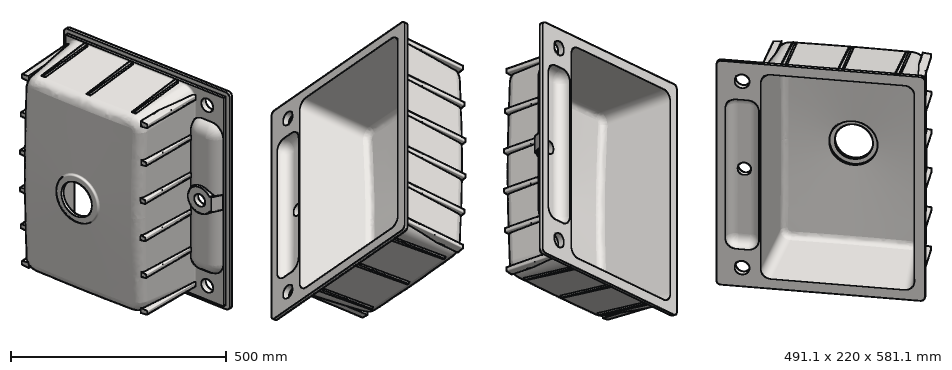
import cadquery as cq
import math


plate_width = 491.12
plate_height = 581.12
plate_center_x = 40.0
plate_thickness = 9.0
plate_corner_radius = 11.0
flange_thickness = 17.0
flange_inset = 11.5

wall = 10.0
bowl_half_width = 189.5
bowl_half_height = 273.8
draft_angle = 4.6
bowl_corner_radius = 34.0
bowl_floor_radius = 26.0
bowl_root_radius = 4.0
floor_depth_at_drain = 218.0
floor_slope = 0.06

drain_hole_diameter = 90.0
drain_seat_diameter = 114.0
drain_seat_thickness = 8.5
drain_ring_base_diameter = 132.0
drain_ring_face_diameter = 118.0
drain_ring_edge_radius = 3.0
total_depth = 220.0
drain_ring_height = 6.0

rib_embedding = 20.0
side_rib_spacing = 100.0
side_rib_count = 6
side_rib_root_reach = 192.0
side_rib_end_reach = 186.0
side_rib_root_width = 13.0
side_rib_end_width = 10.5
side_rib_crest_radius = 2.5
side_rib_flare = 0.1
side_rib_floor_clearance = 9.0
end_rib_spacing = 134.0
end_rib_count = 3
end_rib_root_reach = 278.0
end_rib_end_reach = 264.5
end_rib_root_width = 9.0
end_rib_end_width = 4.5
end_rib_flare = 1.1
end_rib_depth = 176.0

ledge_center_x = 225.0
ledge_width = 99.0
ledge_length = 408.0
ledge_depth = 40.0
ledge_corner_radius = 36.0
ledge_floor_radius = 35.0
boss_depth = 45.0
boss_face_diameter = 70.0
boss_base_diameter = 82.0
web_width = 40.0
ledge_hole_diameter = 32.0
tap_hole_diameter = 35.0
tap_hole_offset = 242.0


def plane_at(depth):
    """Sketch plane parallel to the rim; local axes are X and Z, extrusion goes deeper."""
    return cq.Workplane("XZ", origin=(0, -depth, 0))


def cylinder(x, z, diameter, depth):
    return plane_at(0).center(x, z).circle(diameter / 2).extrude(depth)


def frustum(x, start_depth, start_diameter, end_depth, end_diameter):
    return (
        plane_at(start_depth)
        .center(x, 0)
        .circle(start_diameter / 2)
        .workplane(offset=end_depth - start_depth)
        .circle(end_diameter / 2)
        .loft()
    )


def rim():
    plate = (
        plane_at(0)
        .center(plate_center_x, 0)
        .rect(plate_width, plate_height)
        .extrude(plate_thickness)
        .edges("|Y")
        .fillet(plate_corner_radius)
    )
    flange = (
        plane_at(0)
        .center(plate_center_x, 0)
        .rect(plate_width - 2 * flange_inset, plate_height - 2 * flange_inset)
        .extrude(flange_thickness)
    )
    return plate.union(flange)


def bowl_body(inset):
    """Tapered bowl with a shallow conical floor, shrunk by the inset on all sides."""
    mouth_growth = flange_thickness * math.tan(math.radians(draft_angle))
    half_width = bowl_half_width + mouth_growth - inset
    half_height = bowl_half_height + mouth_growth - inset
    walls = (
        plane_at(0)
        .rect(2 * half_width, 2 * half_height)
        .extrude(total_depth, taper=draft_angle)
        .edges("not(|X or |Z)")
        .fillet(bowl_corner_radius - inset)
    )
    apex_depth = floor_depth_at_drain - inset
    cone_radius = math.hypot(bowl_half_width, bowl_half_height)
    floor_cone = (
        cq.Workplane("XY")
        .moveTo(0, 0)
        .lineTo(cone_radius, 0)
        .lineTo(cone_radius, floor_slope * cone_radius - apex_depth)
        .lineTo(0, -apex_depth)
        .close()
        .revolve(360, (0, 0, 0), (0, 1, 0))
    )
    body = walls.intersect(floor_cone)
    return body.faces("%CONE").faces("<Y").edges().fillet(bowl_floor_radius - inset)


def round_bowl_root(body):
    """Round the inner corner where the bowl walls leave the underside of the flange."""
    margin = bowl_root_radius / 2
    root_box = cq.selectors.BoxSelector(
        (-bowl_half_width - margin, -flange_thickness - margin, -bowl_half_height - margin),
        (bowl_half_width + margin, -flange_thickness + margin, bowl_half_height + margin),
    )
    return body.edges(root_box).fillet(bowl_root_radius)


def rib_section(depth, reach, tip_width, flare):
    """Trapezoid whose narrow side is the crest and whose wide side is buried in the wall."""
    base_half_width = tip_width / 2 + flare * rib_embedding
    return cq.Wire.makePolygon(
        [
            cq.Vector(reach, -depth, tip_width / 2),
            cq.Vector(reach, -depth, -tip_width / 2),
            cq.Vector(reach - rib_embedding, -depth, -base_half_width),
            cq.Vector(reach - rib_embedding, -depth, base_half_width),
        ],
        close=True,
    )


def side_rib(z):
    """Rib on the +X wall, ending a fixed distance short of the sloping floor."""
    floor_depth = floor_depth_at_drain - floor_slope * math.hypot(side_rib_end_reach, z)
    end_depth = floor_depth - side_rib_floor_clearance
    root = rib_section(0, side_rib_root_reach, side_rib_root_width, side_rib_flare)
    end = rib_section(end_depth, side_rib_end_reach, side_rib_end_width, side_rib_flare)
    rib = cq.Workplane(cq.Solid.makeLoft([root, end], True))
    crest = rib.faces(">X").edges("not(|Z)")
    return crest.fillet(side_rib_crest_radius).translate((0, 0, z))


def end_rib(x):
    """Rib on the -Z wall."""
    root = rib_section(0, end_rib_root_reach, end_rib_root_width, end_rib_flare)
    end = rib_section(end_rib_depth, end_rib_end_reach, end_rib_end_width, end_rib_flare)
    along_x = cq.Workplane(cq.Solid.makeLoft([root, end], True))
    return along_x.rotate((0, 0, 0), (0, 1, 0), 90).translate((x, 0, 0))


def row_positions(count, spacing):
    return [(index - (count - 1) / 2) * spacing for index in range(count)]


def add_ribs(body):
    ribs = [side_rib(z) for z in row_positions(side_rib_count, side_rib_spacing)]
    ribs += [end_rib(x) for x in row_positions(end_rib_count, end_rib_spacing)]
    for rib in ribs:
        opposite_rib = rib.rotate((0, 0, 0), (0, 1, 0), 180)
        body = body.union(rib).union(opposite_rib)
    return body


def ledge_body(inset):
    return (
        plane_at(0)
        .center(ledge_center_x, 0)
        .rect(ledge_width - 2 * inset, ledge_length - 2 * inset)
        .extrude(ledge_depth - inset)
        .edges("|Y")
        .fillet(ledge_corner_radius - inset)
        .faces("<Y")
        .edges()
        .fillet(ledge_floor_radius - inset)
    )


def ledge_boss():
    """Raised seat around the ledge hole with a sloping web out to the ledge side."""
    seat = frustum(ledge_center_x, ledge_depth - wall, boss_base_diameter, boss_depth, boss_face_diameter)
    web = (
        cq.Workplane("XY")
        .moveTo(ledge_center_x, -ledge_depth)
        .lineTo(ledge_center_x, -boss_depth)
        .lineTo(ledge_center_x + boss_face_diameter / 2, -boss_depth)
        .lineTo(ledge_center_x + ledge_width / 2, -flange_thickness)
        .close()
        .extrude(web_width / 2, both=True)
    )
    return seat.union(web)


def drain_ring():
    """Raised ring around the drain with a concave foot and a rounded edge."""
    base_radius = drain_ring_base_diameter / 2
    face_radius = drain_ring_face_diameter / 2
    side_radius = face_radius + drain_ring_edge_radius
    base_depth = total_depth - drain_ring_height
    edge_depth = total_depth - drain_ring_edge_radius
    foot_radius = base_radius - side_radius
    arc_shift = math.sqrt(0.5)
    foot_middle = (
        base_radius - foot_radius * arc_shift,
        -base_depth - (edge_depth - base_depth) * (1 - arc_shift),
    )
    edge_middle = (
        face_radius + drain_ring_edge_radius * arc_shift,
        -edge_depth - drain_ring_edge_radius * arc_shift,
    )
    return (
        cq.Workplane("XY")
        .moveTo(0, -base_depth + wall / 2)
        .lineTo(base_radius, -base_depth + wall / 2)
        .lineTo(base_radius, -base_depth)
        .threePointArc(foot_middle, (side_radius, -edge_depth))
        .threePointArc(edge_middle, (face_radius, -total_depth))
        .lineTo(0, -total_depth)
        .close()
        .revolve(360, (0, 0, 0), (0, 1, 0))
    )


bowl_with_rim = round_bowl_root(rim().union(bowl_body(0)))
sink = add_ribs(bowl_with_rim)
sink = sink.union(ledge_body(0)).union(ledge_boss()).union(drain_ring())

sink = sink.cut(bowl_body(wall)).cut(ledge_body(wall))

sink = sink.cut(cylinder(0, 0, drain_seat_diameter, total_depth - drain_seat_thickness))
sink = sink.cut(cylinder(0, 0, drain_hole_diameter, total_depth))
sink = sink.cut(cylinder(ledge_center_x, 0, ledge_hole_diameter, boss_depth))
for tap_z in (-tap_hole_offset, tap_hole_offset):
    sink = sink.cut(cylinder(ledge_center_x, tap_z, tap_hole_diameter, flange_thickness))

result = sink